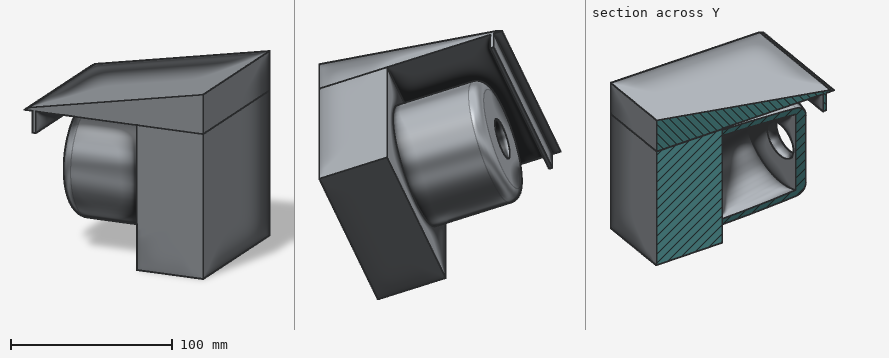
import cadquery as cq

turn_angle = 11.6
width = 99.4

block_depth = 45.0
block_height = 93.8

hood_length = 121.3
hood_height = 25.5
bevel_run = 2.9
bevel_rise = 1.8
lip_setback = 5.5
lip_thickness = 2.2
lip_drop = 14.2

cup_diameter = 78.5
bore_diameter = 68.6
hole_diameter = 25.7
cup_length = 57.0
cup_end_wall = 7.4
cup_edge_radius = 7.2
cup_axis_height = 54.0


def make_block():
    return cq.Workplane("XY").box(block_depth, width, block_height, centered=(False, True, False)).translate(
        (-block_depth, 0, 0)
    )


def make_hood():
    lip_front = lip_setback - hood_length
    lip_back = lip_front + lip_thickness
    lip_bottom = block_height - lip_drop
    return (
        cq.Workplane("XZ")
        .moveTo(0, block_height)
        .lineTo(0, block_height + hood_height)
        .lineTo(bevel_run - hood_length, block_height + bevel_rise)
        .lineTo(-hood_length, block_height)
        .lineTo(lip_front, block_height)
        .lineTo(lip_front, lip_bottom)
        .lineTo(lip_back, lip_bottom)
        .lineTo(lip_back, block_height)
        .close()
        .extrude(width / 2, both=True)
    )


def make_cup():
    seat = cq.Plane(origin=(-block_depth, 0, cup_axis_height), xDir=(0, 1, 0), normal=(-1, 0, 0))
    shell = (
        cq.Workplane(seat)
        .circle(cup_diameter / 2)
        .extrude(cup_length)
        .faces("<X")
        .edges()
        .fillet(cup_edge_radius)
    )
    bore = cq.Workplane(seat).circle(bore_diameter / 2).extrude(cup_length - cup_end_wall)
    end_hole = cq.Workplane(seat).circle(hole_diameter / 2).extrude(cup_length)
    return shell.cut(bore).cut(end_hole)


def turned(body):
    return body.rotate((0, 0, 0), (0, 0, 1), turn_angle)


block = turned(make_block())
hood = turned(make_hood())
cup = turned(make_cup())

result = cq.Compound.makeCompound([block.val(), hood.val(), cup.val()])